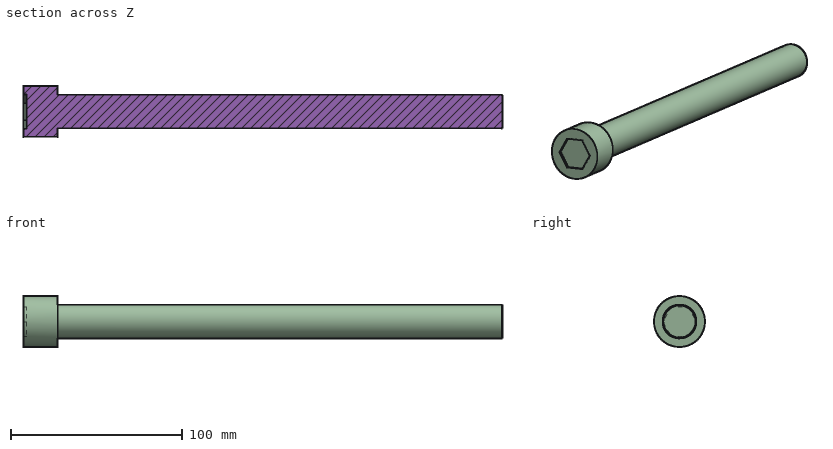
import cadquery as cq

total_length = 280.0
shank_diameter = 20.0
head_diameter = 30.0
head_height = shank_diameter
socket_across_corners = shank_diameter
socket_depth = 1.7
tip_chamfer = 0.5

head_face_x = -total_length / 2


def head_plane():
    """Plane on the outer head face, with its normal along +X."""
    return cq.Workplane("YZ", origin=(head_face_x, 0, 0))


def make_head():
    return head_plane().circle(head_diameter / 2).extrude(head_height)


def make_shank():
    """Full-length cylinder with a small chamfer around its tip."""
    shank = head_plane().circle(shank_diameter / 2).extrude(total_length)
    return shank.faces(">X").chamfer(tip_chamfer)


def make_socket():
    """Shallow hexagonal recess with two corners on the Y axis."""
    return head_plane().polygon(6, socket_across_corners).extrude(socket_depth)


result = make_head().union(make_shank()).cut(make_socket())